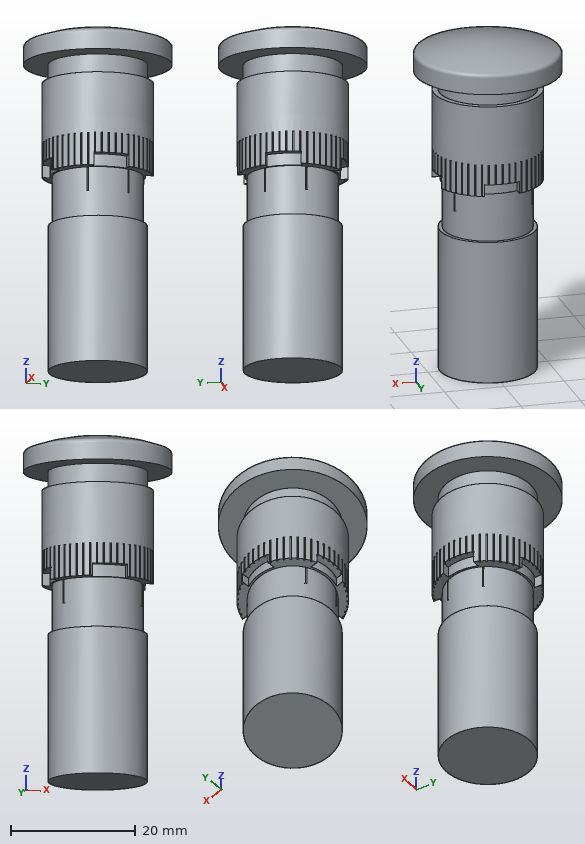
import cadquery as cq
import math

TOTAL_HEIGHT = 56.15
BASE_TOP = 24.0
COLLAR_BOTTOM = 32.2
COLLAR_SEAM = 40.2
COLLAR_TOP = 47.5
HEAD_HEIGHT = 5.5
HEAD_BOTTOM = TOTAL_HEIGHT - HEAD_HEIGHT

BASE_DIAMETER = 16.0
BODY_DIAMETER = 14.7
COLLAR_DIAMETER = 18.0
NECK_DIAMETER = 16.1
HEAD_DIAMETER = 24.0

RIM_ROUND_HEIGHT = 0.65
RIM_ROUND_WIDTH = 0.45
DOME_HEIGHT = 2.1

GROOVE_COUNT = 50
GROOVE_WIDTH = 0.2
GROOVE_DEPTH = 0.25
GROOVE_TOP = 37.5
FRONT_ANGLE = -90.0

NOTCH_COUNT = 4
NOTCH_WIDTH = 5.8
NOTCH_HEIGHT = 2.0
CORE_DIAMETER = 15.4

SLIT_OFFSET = 3.4
SLIT_WIDTH = 0.2
SLIT_DEPTH = 0.8
SLIT_BOTTOM = 28.35


def cylinder(diameter, bottom, top):
    """Cylinder on the Z axis between two levels."""
    return cq.Workplane("XY").workplane(offset=bottom).circle(diameter / 2).extrude(top - bottom)


def box(size_x, size_y, bottom, top, x, y):
    """Upright box between two levels, centred on (x, y)."""
    return (
        cq.Workplane("XY")
        .workplane(offset=bottom)
        .center(x, y)
        .rect(size_x, size_y)
        .extrude(top - bottom)
    )


def around_axis(shape, angle):
    return shape.rotate((0, 0, 0), (0, 0, 1), angle)


def make_head():
    """Disc with a rounded rim under a shallow spherical dome."""
    radius = HEAD_DIAMETER / 2
    dome_radius = radius - RIM_ROUND_WIDTH
    dome_base = TOTAL_HEIGHT - DOME_HEIGHT
    sphere_radius = (dome_radius**2 + DOME_HEIGHT**2) / (2 * DOME_HEIGHT)
    mid_dome_x = dome_radius / 2
    mid_dome_z = TOTAL_HEIGHT - sphere_radius + math.sqrt(sphere_radius**2 - mid_dome_x**2)
    return (
        cq.Workplane("XZ")
        .moveTo(0, HEAD_BOTTOM)
        .lineTo(radius, HEAD_BOTTOM)
        .lineTo(radius, dome_base - RIM_ROUND_HEIGHT)
        .tangentArcPoint((dome_radius, dome_base), relative=False)
        .threePointArc((mid_dome_x, mid_dome_z), (0, TOTAL_HEIGHT))
        .close()
        .revolve(360, (0, 0, 0), (0, 1, 0))
    )


def make_knurled_ring():
    """Lower part of the collar, with grooves and notches."""
    radius = COLLAR_DIAMETER / 2
    ring = cylinder(COLLAR_DIAMETER, COLLAR_BOTTOM, COLLAR_SEAM)

    groove = box(2 * GROOVE_DEPTH, GROOVE_WIDTH, COLLAR_BOTTOM, GROOVE_TOP, radius, 0)
    grooves = [
        around_axis(groove, FRONT_ANGLE + i * 360 / GROOVE_COUNT).val() for i in range(GROOVE_COUNT)
    ]
    ring = ring.cut(cq.Workplane(cq.Compound.makeCompound(grooves)))

    notch_top = COLLAR_BOTTOM + NOTCH_HEIGHT
    notch = box(COLLAR_DIAMETER, NOTCH_WIDTH, COLLAR_BOTTOM, notch_top, radius, 0)
    for i in range(NOTCH_COUNT):
        ring = ring.cut(around_axis(notch, i * 360 / NOTCH_COUNT))
    return ring.union(cylinder(CORE_DIAMETER, COLLAR_BOTTOM, COLLAR_SEAM))


def make_body():
    """Slim section below the collar, slit on both X sides."""
    radius = BODY_DIAMETER / 2
    surface_x = math.sqrt(radius**2 - SLIT_OFFSET**2)
    body = cylinder(BODY_DIAMETER, BASE_TOP, COLLAR_BOTTOM)
    for x in (-surface_x, surface_x):
        for y in (-SLIT_OFFSET, SLIT_OFFSET):
            body = body.cut(box(2 * SLIT_DEPTH, SLIT_WIDTH, SLIT_BOTTOM, COLLAR_BOTTOM, x, y))
    return body


base = cylinder(BASE_DIAMETER, 0, BASE_TOP)
plain_ring = cylinder(COLLAR_DIAMETER, COLLAR_SEAM, COLLAR_TOP)
neck = cylinder(NECK_DIAMETER, COLLAR_TOP, HEAD_BOTTOM)

result = base
for section in (make_body(), make_knurled_ring(), plain_ring, neck, make_head()):
    result = result.union(section, clean=False)